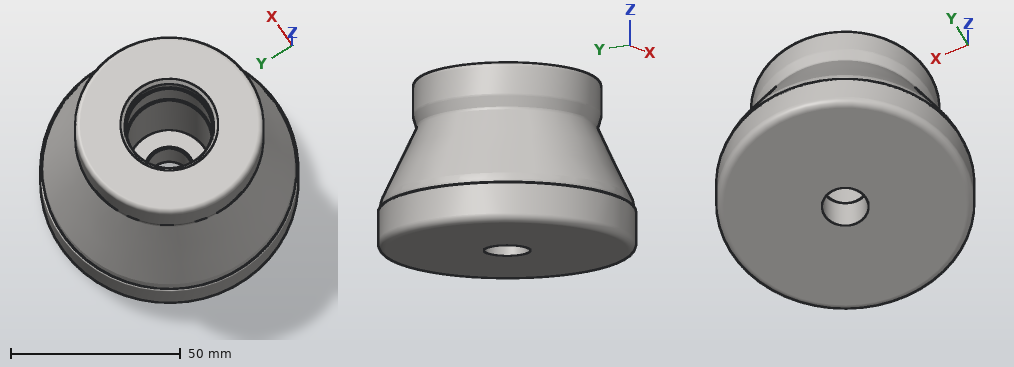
import cadquery as cq

base_radius = 38.1
base_height = 11.9
base_bottom_fillet = 2.3
base_top_fillet = 0.4
hole_radius = 6.85
hole_chamfer = 0.45

total_height = 50.8
skirt_radius = 37.5
skirt_shoulder_height = 13.95
skirt_blend = 4.6
skirt_bottom_chamfer = 0.2
neck_radius = 26.7
neck_height = 36.8
neck_blend = 1.15
head_radius = 27.8
head_bottom_height = 40.7
head_bottom_blend = 1.9
head_top_fillet = 1.5

mouth_radius = 13.2
mouth_depth = 4.0
mouth_chamfer = 1.2
bore_radius = 12.65
bore_depth = 12.95
lower_bore_radius = 12.5
groove_radius = 12.8
groove_width = 0.6


def make_base():
    disc = cq.Workplane("XY").circle(base_radius).extrude(base_height)
    disc = disc.faces("<Z").edges().fillet(base_bottom_fillet)
    disc = disc.faces(">Z").edges().fillet(base_top_fillet)
    hole = cq.Workplane("XY").circle(hole_radius).extrude(base_height)
    rim = cq.selectors.RadiusNthSelector(0)
    return disc.cut(hole).faces(">Z").edges(rim).chamfer(hole_chamfer)


def circle_at(height):
    """Select the circular edges whose centre lies at the given height."""
    margin = 0.01
    reach = 0.8
    return cq.selectors.BoxSelector(
        (-reach, -reach, height - margin), (reach, reach, height + margin)
    )


def make_housing_blank():
    blank = (
        cq.Workplane("XZ")
        .moveTo(0, base_height)
        .lineTo(skirt_radius, base_height)
        .lineTo(skirt_radius, skirt_shoulder_height)
        .lineTo(neck_radius, neck_height)
        .lineTo(head_radius, head_bottom_height)
        .lineTo(head_radius, total_height)
        .lineTo(0, total_height)
        .close()
        .revolve(360, (0, 0), (0, 1))
    )
    blank = blank.edges(circle_at(skirt_shoulder_height)).fillet(skirt_blend)
    blank = blank.edges(circle_at(neck_height)).fillet(neck_blend)
    blank = blank.edges(circle_at(head_bottom_height)).fillet(head_bottom_blend)
    blank = blank.edges(circle_at(total_height)).fillet(head_top_fillet)
    return blank.edges(circle_at(base_height)).chamfer(skirt_bottom_chamfer)


def make_bore():
    mouth_floor = total_height - mouth_depth
    groove_top = total_height - bore_depth
    return (
        cq.Workplane("XZ")
        .moveTo(0, base_height)
        .lineTo(lower_bore_radius, base_height)
        .lineTo(lower_bore_radius, groove_top - groove_width)
        .lineTo(groove_radius, groove_top - groove_width)
        .lineTo(groove_radius, groove_top)
        .lineTo(bore_radius, groove_top)
        .lineTo(bore_radius, mouth_floor)
        .lineTo(mouth_radius, mouth_floor)
        .lineTo(mouth_radius, total_height - mouth_chamfer)
        .lineTo(mouth_radius + mouth_chamfer, total_height)
        .lineTo(0, total_height)
        .close()
        .revolve(360, (0, 0), (0, 1))
    )


base = make_base()
housing = make_housing_blank().cut(make_bore())

result = cq.Compound.makeCompound([base.val(), housing.val()])